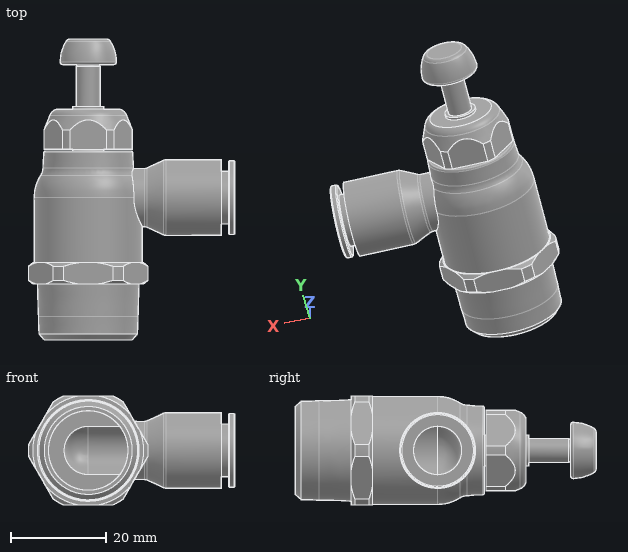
import cadquery as cq
import math


BORE_RADIUS = 8.35
THREAD_FACE_RADIUS = 9.25
THREAD_CHAMFER_RADIUS = 10.4
THREAD_CHAMFER_TOP = 1.25
THREAD_STRAIGHT_RADIUS = 10.5
THREAD_STRAIGHT_TOP = 5.0
THREAD_TOP_RADIUS = 10.7

HEX_FLATS = 23.0
HEX_CORNER_RADIUS = 12.6
HEX_BOTTOM = 11.8
HEX_TOP = 16.25
HEX_EDGE_RADIUS = 11.65
HEX_EDGE_HEIGHT = 0.75

BODY_RADIUS = 11.4
BRANCH_Y = 29.95
SHOULDER_ARC_TOP = 34.6
SHOULDER_ARC_TOP_RADIUS = 10.0
COLLAR_BASE = 36.15
COLLAR_BASE_RADIUS = 9.55
COLLAR_TOP = 39.75
COLLAR_TOP_RADIUS = 9.4
COLLAR_ROUNDING = 0.4

NUT_FLATS = 16.95
NUT_CORNER_RADIUS = 9.3
NUT_BOTTOM = 40.1
NUT_CONE_BOTTOM = 44.2
NUT_CONE_TOP = 47.2
NUT_CONE_TOP_RADIUS = 8.1
NUT_TOP = 48.55
NUT_FACE_RADIUS = 6.65

SCREW_RADIUS = 3.3
SCREW_TOP = 49.1
STEM_RADIUS = 2.55
STEM_CHAMFER_HEIGHT = 0.4
STEM_CHAMFER_DEPTH = 0.2
KNOB_BOTTOM = 57.85
KNOB_RADIUS = 5.95
KNOB_RIM_ROUNDING = 0.65
KNOB_SHOULDER_RADIUS = 4.7
KNOB_SHOULDER = 62.8
KNOB_FACE_RADIUS = 3.75
KNOB_TOP = 63.3

BRANCH_NECK_RADIUS = 6.15
BRANCH_NECK_END = 12.1
SOCKET_RADIUS = 8.0
SOCKET_START = 16.1
CONE_EDGE_ROUNDING = 1.2
SOCKET_END = 28.0
RELEASE_NECK_RADIUS = 5.6
RELEASE_RING_START = 29.45
RELEASE_RING_RADIUS = 7.8
RELEASE_RING_CHAMFER = 0.25
BRANCH_END = 30.9
TUBE_RADIUS = 5.05


def revolve_on_valve_axis(profile):
    """Revolve an XY profile about the Y axis."""
    return profile.close().revolve(360, (0, 0, 0), (0, 1, 0))


def hexagon(across_flats, bottom, top):
    """Hexagonal prism along +Y with corners on the X axis."""
    across_corners = across_flats / math.cos(math.pi / 6)
    plane = cq.Workplane("XZ", origin=(0, bottom, 0))
    return plane.polygon(6, across_corners).extrude(bottom - top)


def body():
    profile = (
        cq.Workplane("XY")
        .lineTo(THREAD_FACE_RADIUS, 0)
        .lineTo(THREAD_CHAMFER_RADIUS, THREAD_CHAMFER_TOP)
        .lineTo(THREAD_STRAIGHT_RADIUS, THREAD_STRAIGHT_TOP)
        .lineTo(THREAD_TOP_RADIUS, HEX_BOTTOM)
        .lineTo(BODY_RADIUS, HEX_TOP)
        .lineTo(BODY_RADIUS, BRANCH_Y)
        .tangentArcPoint((SHOULDER_ARC_TOP_RADIUS, SHOULDER_ARC_TOP), relative=False)
        .tangentArcPoint((COLLAR_BASE_RADIUS, COLLAR_BASE), relative=False)
        .lineTo(COLLAR_TOP_RADIUS, COLLAR_TOP - COLLAR_ROUNDING)
        .tangentArcPoint((COLLAR_TOP_RADIUS - COLLAR_ROUNDING, COLLAR_TOP), relative=False)
        .lineTo(0, COLLAR_TOP)
    )
    return revolve_on_valve_axis(profile)


def wrench_hexagon():
    envelope = revolve_on_valve_axis(
        cq.Workplane("XY")
        .moveTo(0, HEX_BOTTOM)
        .lineTo(HEX_EDGE_RADIUS, HEX_BOTTOM)
        .lineTo(HEX_CORNER_RADIUS, HEX_BOTTOM + HEX_EDGE_HEIGHT)
        .lineTo(HEX_CORNER_RADIUS, HEX_TOP - HEX_EDGE_HEIGHT)
        .lineTo(HEX_EDGE_RADIUS, HEX_TOP)
        .lineTo(0, HEX_TOP)
    )
    return hexagon(HEX_FLATS, HEX_BOTTOM, HEX_TOP).intersect(envelope)


def lock_nut():
    envelope = revolve_on_valve_axis(
        cq.Workplane("XY")
        .moveTo(0, NUT_BOTTOM)
        .lineTo(NUT_CORNER_RADIUS, NUT_BOTTOM)
        .lineTo(NUT_CORNER_RADIUS, NUT_CONE_BOTTOM)
        .lineTo(NUT_CONE_TOP_RADIUS, NUT_CONE_TOP)
        .tangentArcPoint((NUT_FACE_RADIUS, NUT_TOP), relative=False)
        .lineTo(0, NUT_TOP)
    )
    return hexagon(NUT_FLATS, NUT_BOTTOM, NUT_TOP).intersect(envelope)


def adjusting_screw():
    profile = (
        cq.Workplane("XY")
        .moveTo(0, COLLAR_TOP)
        .lineTo(SCREW_RADIUS, COLLAR_TOP)
        .lineTo(SCREW_RADIUS, SCREW_TOP)
        .lineTo(STEM_RADIUS, SCREW_TOP)
        .lineTo(STEM_RADIUS, KNOB_BOTTOM - STEM_CHAMFER_HEIGHT)
        .lineTo(STEM_RADIUS - STEM_CHAMFER_DEPTH, KNOB_BOTTOM)
        .lineTo(KNOB_RADIUS - KNOB_RIM_ROUNDING, KNOB_BOTTOM)
        .tangentArcPoint((KNOB_RADIUS, KNOB_BOTTOM + KNOB_RIM_ROUNDING), relative=False)
        .tangentArcPoint((KNOB_SHOULDER_RADIUS, KNOB_SHOULDER), relative=False)
        .tangentArcPoint((KNOB_FACE_RADIUS, KNOB_TOP), relative=False)
        .lineTo(0, KNOB_TOP)
    )
    return revolve_on_valve_axis(profile)


def tube_branch():
    profile = (
        cq.Workplane("XY", origin=(0, BRANCH_Y, 0))
        .lineTo(0, BRANCH_NECK_RADIUS)
        .lineTo(BRANCH_NECK_END, BRANCH_NECK_RADIUS)
        .lineTo(SOCKET_START, SOCKET_RADIUS)
        .lineTo(SOCKET_END, SOCKET_RADIUS)
        .lineTo(SOCKET_END, RELEASE_NECK_RADIUS)
        .lineTo(RELEASE_RING_START, RELEASE_NECK_RADIUS)
        .lineTo(RELEASE_RING_START, RELEASE_RING_RADIUS - RELEASE_RING_CHAMFER)
        .lineTo(RELEASE_RING_START + RELEASE_RING_CHAMFER, RELEASE_RING_RADIUS)
        .lineTo(BRANCH_END - RELEASE_RING_CHAMFER, RELEASE_RING_RADIUS)
        .lineTo(BRANCH_END, RELEASE_RING_RADIUS - RELEASE_RING_CHAMFER)
        .lineTo(BRANCH_END, 0)
        .close()
    )
    branch = profile.revolve(360, (0, 0, 0), (1, 0, 0))
    for edge_x in (BRANCH_NECK_END, SOCKET_START):
        cone_edge = cq.selectors.NearestToPointSelector((edge_x, BRANCH_Y, 0))
        branch = branch.edges(cone_edge).fillet(CONE_EDGE_ROUNDING)
    return branch


def flow_passage():
    """Valve bore up to the branch axis, meeting a round-ended tube passage."""
    bore = cq.Workplane("XZ").circle(BORE_RADIUS).extrude(-BRANCH_Y)
    tube = cq.Workplane("YZ", origin=(0, BRANCH_Y, 0)).circle(TUBE_RADIUS).extrude(BRANCH_END)
    tube_end = cq.Workplane("XY", origin=(0, BRANCH_Y, 0)).sphere(TUBE_RADIUS)
    return bore.union(tube).union(tube_end)


result = (
    body()
    .union(wrench_hexagon())
    .union(lock_nut())
    .union(adjusting_screw())
    .union(tube_branch())
    .cut(flow_passage())
)